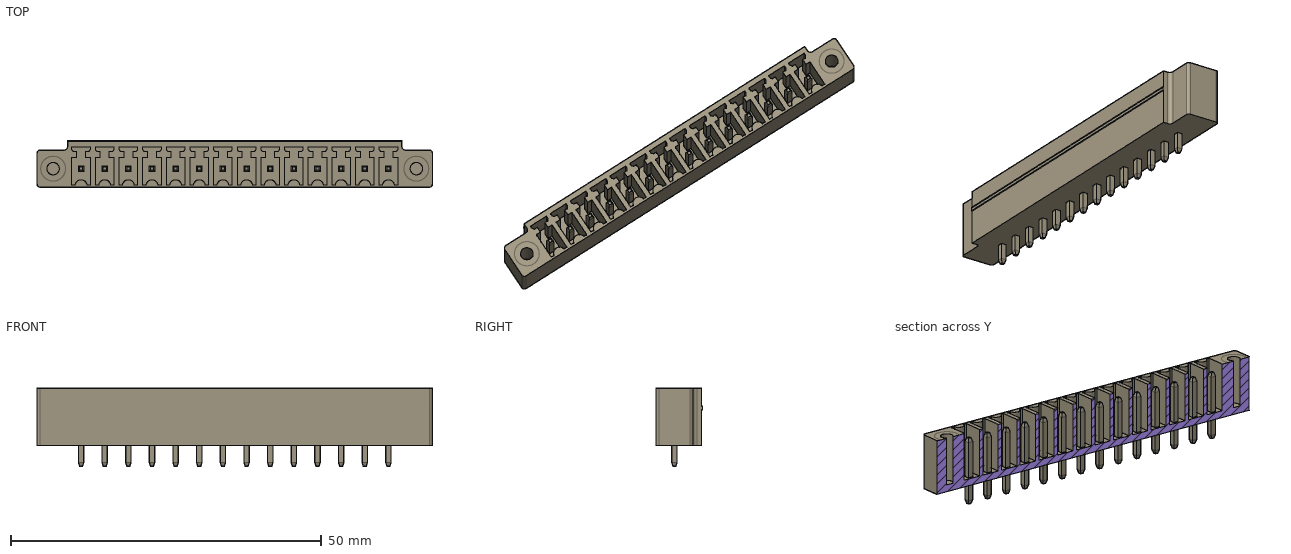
import cadquery as cq

POLES = 14
PITCH = 3.81
ROW_LENGTH = (POLES - 1) * PITCH

LENGTH = 63.73
HEIGHT = 9.25
BODY_DEPTH = 7.4
FLANGE_DEPTH = 6.0
FLANGE_LENGTH = 4.92
FLANGE_CORNER_RADIUS = 0.5
FLANGE_ROOT_RADIUS = 0.6
BODY_LENGTH = LENGTH - 2 * FLANGE_LENGTH

OVERALL_DEPTH = 7.55
RIB_HEIGHT = 0.6
RIB_TOP_Z = HEIGHT - 2.9

CENTRE_Y = 3.0
BUSHING_SPACING = ROW_LENGTH + 9.0
BUSHING_DIAMETER = 4.0
SCREW_HOLE_DIAMETER = 2.0
BUSHING_DEPTH = 8.0

CHAMBER_WIDTH = 3.0
CHAMBER_FLOOR_Z = 1.25
CHAMBER_FRONT_Y = 0.4
SHOULDER_Y = 4.8
KEYWAY_FRONT_Y = 5.75
KEYWAY_FLARE_Y = 6.05
CHAMBER_BACK_Y = 6.5
KEYWAY_FRONT_WIDTH = 2.5
NECK_WIDTH = 1.45
BUMP_WIDTH = 1.9
BUMP_HEIGHT = 0.8

OVERALL_HEIGHT = 12.6
PIN_SIDE = 0.9
PIN_TIP_SIDE = 0.5
PIN_TIP_LENGTH = 0.65
PIN_BOTTOM_Z = HEIGHT - OVERALL_HEIGHT
PIN_TOP_Z = 7.95

PIN_POSITIONS = [(-ROW_LENGTH / 2 + i * PITCH, CENTRE_Y) for i in range(POLES)]
BUSHING_POSITIONS = [(side * BUSHING_SPACING / 2, CENTRE_Y) for side in (-1, 1)]


def block(length, y_front, y_back, z_bottom, z_top):
    """Box centred on X between the given Y and Z limits."""
    size = (length, y_back - y_front, z_top - z_bottom)
    return cq.Workplane("XY").box(*size, centered=(True, False, False)).translate((0, y_front, z_bottom))


def make_housing():
    """Long body with a shallower flange at each end and a rib on its back."""
    flanges = block(LENGTH, 0, FLANGE_DEPTH, 0, HEIGHT)
    flanges = flanges.edges("|Z").fillet(FLANGE_CORNER_RADIUS)
    housing = flanges.union(block(BODY_LENGTH, 0, BODY_DEPTH, 0, HEIGHT))
    margin = 0.1
    roots = cq.selectors.BoxSelector(
        (-BODY_LENGTH / 2 - margin, FLANGE_DEPTH - margin, 0),
        (BODY_LENGTH / 2 + margin, FLANGE_DEPTH + margin, HEIGHT),
    )
    housing = housing.edges(roots).edges("|Z").fillet(FLANGE_ROOT_RADIUS)
    rib = block(BODY_LENGTH, CHAMBER_BACK_Y, OVERALL_DEPTH, RIB_TOP_Z - RIB_HEIGHT, RIB_TOP_Z)
    return housing.union(rib)


def make_chambers():
    """Keyed chambers with a flared keyway at the back and a round bump in front."""
    half_width = CHAMBER_WIDTH / 2
    half_neck = NECK_WIDTH / 2
    half_keyway = KEYWAY_FRONT_WIDTH / 2
    half_bump = BUMP_WIDTH / 2
    chamber = (
        cq.Workplane("XY")
        .moveTo(-half_width, CHAMBER_FRONT_Y)
        .lineTo(-half_bump, CHAMBER_FRONT_Y)
        .threePointArc((0, CHAMBER_FRONT_Y + BUMP_HEIGHT), (half_bump, CHAMBER_FRONT_Y))
        .lineTo(half_width, CHAMBER_FRONT_Y)
        .lineTo(half_width, SHOULDER_Y)
        .lineTo(half_neck, SHOULDER_Y)
        .lineTo(half_neck, KEYWAY_FRONT_Y)
        .lineTo(half_keyway, KEYWAY_FRONT_Y)
        .lineTo(half_width, KEYWAY_FLARE_Y)
        .lineTo(half_width, CHAMBER_BACK_Y)
        .lineTo(-half_width, CHAMBER_BACK_Y)
        .lineTo(-half_width, KEYWAY_FLARE_Y)
        .lineTo(-half_keyway, KEYWAY_FRONT_Y)
        .lineTo(-half_neck, KEYWAY_FRONT_Y)
        .lineTo(-half_neck, SHOULDER_Y)
        .lineTo(-half_width, SHOULDER_Y)
        .close()
        .extrude(HEIGHT - CHAMBER_FLOOR_Z)
        .translate((0, 0, CHAMBER_FLOOR_Z))
        .val()
    )
    return cq.Workplane("XY").pushPoints(PIN_POSITIONS).eachpoint(
        lambda place: chamber.moved(place).translate((0, -CENTRE_Y, 0)), combine=False
    )


def pin_taper(z_base, direction):
    """Tapered pin end growing from z_base up (1) or down (-1)."""
    return (
        cq.Workplane("XY", origin=(0, 0, z_base))
        .rect(PIN_SIDE, PIN_SIDE)
        .workplane(offset=direction * PIN_TIP_LENGTH)
        .rect(PIN_TIP_SIDE, PIN_TIP_SIDE)
        .loft()
    )


def make_pins():
    """Square contact pins tapered at both ends."""
    shank_bottom = PIN_BOTTOM_Z + PIN_TIP_LENGTH
    shank_top = PIN_TOP_Z - PIN_TIP_LENGTH
    pin = (
        block(PIN_SIDE, -PIN_SIDE / 2, PIN_SIDE / 2, shank_bottom, shank_top)
        .union(pin_taper(shank_bottom, -1))
        .union(pin_taper(shank_top, 1))
        .val()
    )
    return cq.Workplane("XY").pushPoints(PIN_POSITIONS).eachpoint(
        lambda place: pin.moved(place), combine=False
    )


def make_cylinders(diameter):
    """One upright cylinder per flange, from the bushing seat to the top face."""
    return (
        cq.Workplane("XY", origin=(0, 0, HEIGHT - BUSHING_DEPTH))
        .pushPoints(BUSHING_POSITIONS)
        .circle(diameter / 2)
        .extrude(BUSHING_DEPTH)
    )


bushing_bores = make_cylinders(BUSHING_DIAMETER)
bushings = bushing_bores.cut(make_cylinders(SCREW_HOLE_DIAMETER))
housing = make_housing().cut(make_chambers()).cut(bushing_bores)
result = housing.union(make_pins()).union(bushings, clean=False)